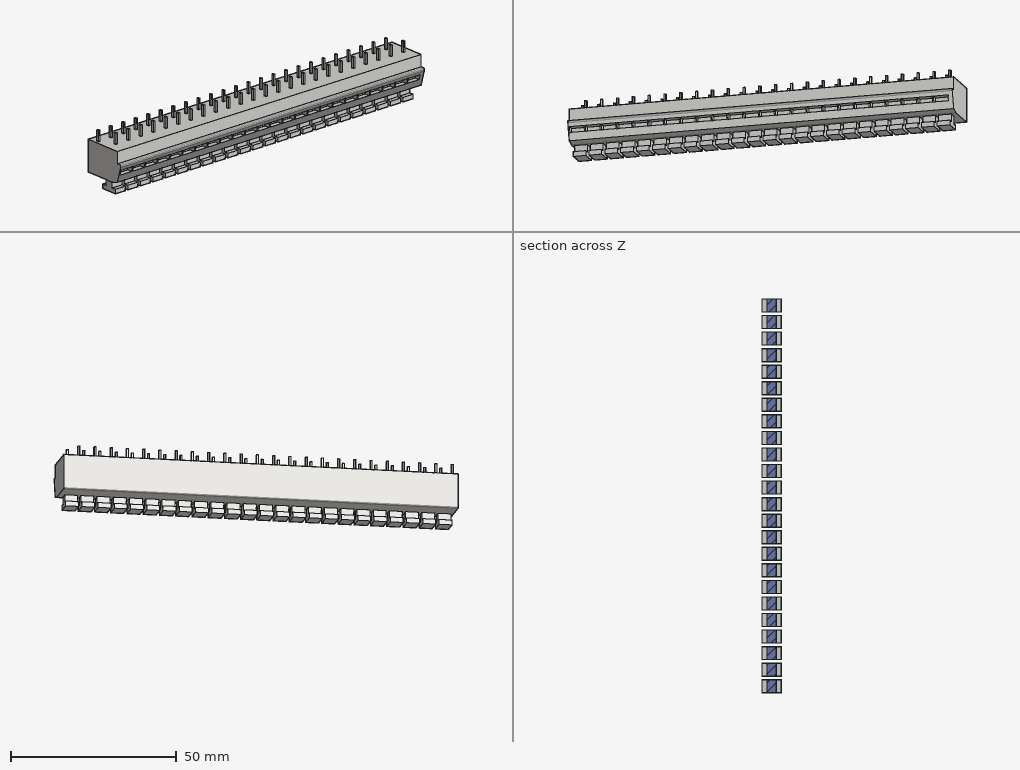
import cadquery as cq

POLE_COUNT = 24
POLE_PITCH = 5.0
END_WALL = 1.5
LENGTH = POLE_COUNT * POLE_PITCH + END_WALL
BODY_WIDTH = 13.5
TOTAL_WIDTH = 15.0
TOTAL_HEIGHT = 18.1
EDGE_RADIUS = 0.3

PIN_LENGTH = 3.6
PIN_WIDTH = 0.8
PIN_THICKNESS = 0.6
PIN_STAGGER = POLE_PITCH / 2
PIN_FIRST_Y = PIN_STAGGER / 2
PIN_ROW_X = 3.3
PIN_ROW_SPACING = 5.1

FIRST_POLE_Y = 2.75
BUTTON_X = 8.8
BUTTON_DROP = 3.8
BUTTON_LENGTH = 4.0
STEM_WIDTH = 2.9
HEAD_WIDTH = 5.9
HEAD_HEIGHT = 1.5

BODY_HEIGHT = TOTAL_HEIGHT - PIN_LENGTH - BUTTON_DROP

LEDGE_TOP = 6.7
LEDGE_LIP = 0.75
SLANT_FOOT_X = 13.5
SLANT_FOOT_Z = 0.7
BEVEL_START_X = 11.2

POCKET_FLOOR_X = 12.4
POCKET_BOTTOM_Z = 3.1
POCKET_HEIGHT = 1.7
POCKET_RIB = 0.4
POCKET_LENGTH = POLE_PITCH - POCKET_RIB


def pole_centers(x):
    """Points at the given X, one at the centre of each pole."""
    return [(x, FIRST_POLE_Y + i * POLE_PITCH) for i in range(POLE_COUNT)]


def rectangles(centers, size, z):
    """Sketch of equal rectangles (X size, Y size) on the horizontal plane at z."""
    return cq.Workplane("XY", origin=(0, 0, z)).pushPoints(centers).rect(*size)


def make_housing():
    lip_x = TOTAL_WIDTH - EDGE_RADIUS
    lip_z = LEDGE_TOP - EDGE_RADIUS
    return (
        cq.Workplane("XZ")
        .moveTo(EDGE_RADIUS, 0)
        .lineTo(BEVEL_START_X, 0)
        .lineTo(SLANT_FOOT_X, SLANT_FOOT_Z)
        .lineTo(TOTAL_WIDTH, LEDGE_TOP - LEDGE_LIP)
        .lineTo(TOTAL_WIDTH, lip_z)
        .radiusArc((lip_x, LEDGE_TOP), -EDGE_RADIUS)
        .lineTo(BODY_WIDTH, LEDGE_TOP)
        .lineTo(BODY_WIDTH, BODY_HEIGHT)
        .lineTo(0, BODY_HEIGHT)
        .lineTo(0, EDGE_RADIUS)
        .radiusArc((EDGE_RADIUS, 0), -EDGE_RADIUS)
        .close()
        .extrude(-LENGTH)
    )


def make_pockets():
    pocket_depth = TOTAL_WIDTH - POCKET_FLOOR_X
    centers = pole_centers(POCKET_FLOOR_X + pocket_depth / 2)
    return rectangles(centers, (pocket_depth, POCKET_LENGTH), POCKET_BOTTOM_Z).extrude(POCKET_HEIGHT)


def make_pins():
    row_starts = [
        (PIN_ROW_X, PIN_FIRST_Y),
        (PIN_ROW_X + PIN_ROW_SPACING, PIN_FIRST_Y + PIN_STAGGER),
    ]
    centers = [(x, y + i * POLE_PITCH) for x, y in row_starts for i in range(POLE_COUNT)]
    return rectangles(centers, (PIN_WIDTH, PIN_THICKNESS), BODY_HEIGHT).extrude(PIN_LENGTH)


def make_buttons():
    centers = pole_centers(BUTTON_X)
    stems = rectangles(centers, (STEM_WIDTH, BUTTON_LENGTH), -BUTTON_DROP).extrude(BUTTON_DROP)
    heads = rectangles(centers, (HEAD_WIDTH, BUTTON_LENGTH), -BUTTON_DROP).extrude(HEAD_HEIGHT)
    return stems.union(heads)


housing = make_housing().cut(make_pockets())
result = housing.union(make_pins()).union(make_buttons())